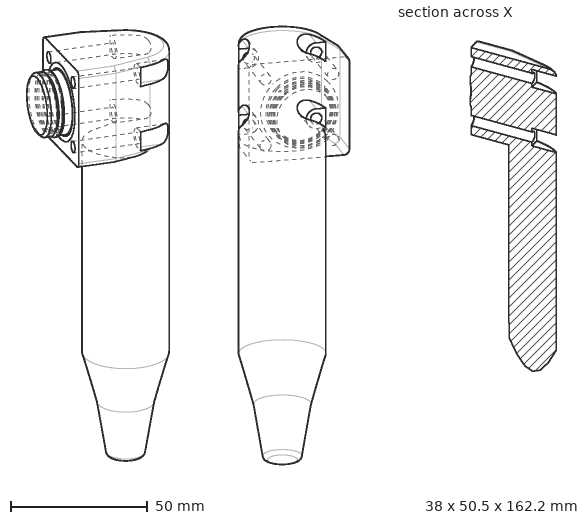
import cadquery as cq
import math

total_height = 162.2
barrel_radius = 32.0 / 2
taper_top = 40.9
taper_break = 21.4
taper_break_radius = 10.5
tip_radius = 7.0
tip_fillet = 1.8

head_size = 38.0
head_center_z = total_height - head_size / 2
front_y = -25.1
side_break_y = -10.9
edge_fillet = 2.1

hole_diameter = 4.2
relief_diameter = 7.5
relief_floor_y = -0.2
hole_spacing = 25.5

overall_depth = 50.5
spigot_radius = 24.0 / 2
spigot_end_y = barrel_radius - overall_depth
spigot_chamfer = 1.1
groove_radius = 21.5 / 2
groove_back_y = -28.2
groove_front_y = -31.0
spigot_seal_section = 1.0
spigot_seal_radius = 11.5
spigot_seal_y = -29.2
face_seal_section = 1.3
face_seal_radius = 13.6
face_seal_protrusion = 0.5


def make_barrel():
    """Straight cylinder ending in a two-stage taper."""
    barrel = (
        cq.Workplane("XZ")
        .lineTo(tip_radius, 0)
        .lineTo(taper_break_radius, taper_break)
        .lineTo(barrel_radius, taper_top)
        .lineTo(barrel_radius, head_center_z)
        .lineTo(0, head_center_z)
        .close()
        .revolve(360, (0, 0, 0), (0, 1, 0))
    )
    return barrel.faces("<Z").edges().fillet(tip_fillet)


def make_head():
    """Block whose slanted sides run tangent into the round back."""
    half_width = head_size / 2
    corner_distance = math.hypot(half_width, side_break_y)
    tangent_angle = math.atan2(side_break_y, half_width) + math.acos(barrel_radius / corner_distance)
    tangent_x = barrel_radius * math.cos(tangent_angle)
    tangent_y = barrel_radius * math.sin(tangent_angle)
    head = (
        cq.Workplane("XY", origin=(0, 0, total_height - head_size))
        .moveTo(-half_width, front_y)
        .lineTo(half_width, front_y)
        .lineTo(half_width, side_break_y)
        .lineTo(tangent_x, tangent_y)
        .threePointArc((0, barrel_radius), (-tangent_x, tangent_y))
        .lineTo(-half_width, side_break_y)
        .close()
        .extrude(head_size)
    )
    return head.faces("<Z or >Z").edges("not <Y").fillet(edge_fillet)


def screw_bores(diameter, start_y, end_y):
    """Four cylinders along Y on the square screw pattern."""
    return (
        cq.Workplane("XZ", origin=(0, start_y, head_center_z))
        .rect(hole_spacing, hole_spacing, forConstruction=True)
        .vertices()
        .circle(diameter / 2)
        .extrude(start_y - end_y)
    )


def make_reliefs():
    """Round-bottomed slots around the screw axes, open sideways and to the back."""
    reliefs = screw_bores(relief_diameter, barrel_radius, relief_floor_y)
    slot_length = barrel_radius - relief_floor_y
    for side in (-1, 1):
        for level in (-1, 1):
            axis_x = side * hole_spacing / 2
            axis_z = head_center_z + level * hole_spacing / 2
            opening = cq.Workplane("XY").box(head_size / 2, slot_length, relief_diameter)
            opening = opening.translate(
                (axis_x + side * head_size / 4, relief_floor_y + slot_length / 2, axis_z)
            )
            reliefs = reliefs.union(opening)
    return reliefs


def front_disc(radius, start_y, end_y):
    """Round disc on the spigot axis, from start_y forward to end_y."""
    return cq.Workplane("XZ", origin=(0, start_y, head_center_z)).circle(radius).extrude(start_y - end_y)


def seal_ring(ring_radius, section_radius, center_y):
    """Ring of round section around the spigot axis."""
    ring = cq.Solid.makeTorus(
        ring_radius, section_radius, cq.Vector(0, center_y, head_center_z), cq.Vector(0, 1, 0)
    )
    return cq.Workplane(ring)


def make_spigot():
    spigot = front_disc(spigot_radius, 0, spigot_end_y).faces("<Y").edges().chamfer(spigot_chamfer)
    groove = front_disc(2 * spigot_radius, groove_back_y, groove_front_y).cut(
        front_disc(groove_radius, groove_back_y, groove_front_y)
    )
    return spigot.cut(groove).union(seal_ring(spigot_seal_radius, spigot_seal_section, spigot_seal_y))


face_seal_y = front_y - face_seal_protrusion + face_seal_section

result = make_barrel().union(make_head())
result = result.cut(screw_bores(hole_diameter, barrel_radius, front_y))
result = result.cut(make_reliefs())
result = result.union(make_spigot())
result = result.union(seal_ring(face_seal_radius, face_seal_section, face_seal_y))